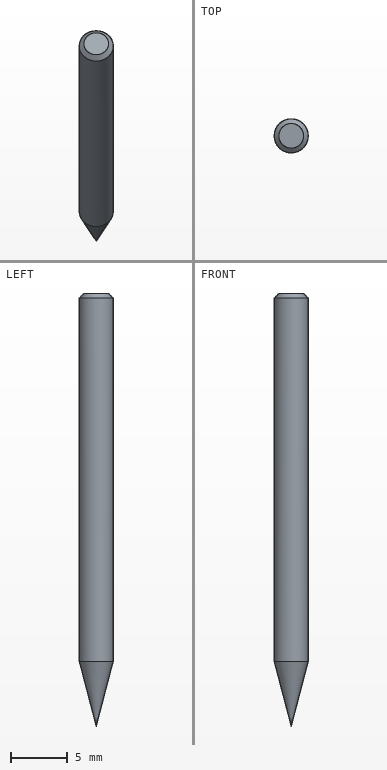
import cadquery as cq

total_length = 38.1
diameter = 3.0
tip_length = 5.7
chamfer_size = 0.42

shank_length = total_length - tip_length
radius = diameter / 2


def make_shank():
    """Straight round rod with a chamfered top edge."""
    rod = cq.Workplane("XY").workplane(offset=tip_length).circle(radius).extrude(shank_length)
    return rod.faces(">Z").edges().chamfer(chamfer_size)


def make_tip():
    """Sharp cone pointing down, its base flush with the bottom of the shank."""
    outline = [(0, 0), (radius, tip_length), (0, tip_length)]
    half_section = cq.Workplane("XZ").polyline(outline).close()
    return half_section.revolve(360, (0, 0, 0), (0, 1, 0))


shank = make_shank()
tip = make_tip()

result = cq.Compound.makeCompound([shank.val(), tip.val()])